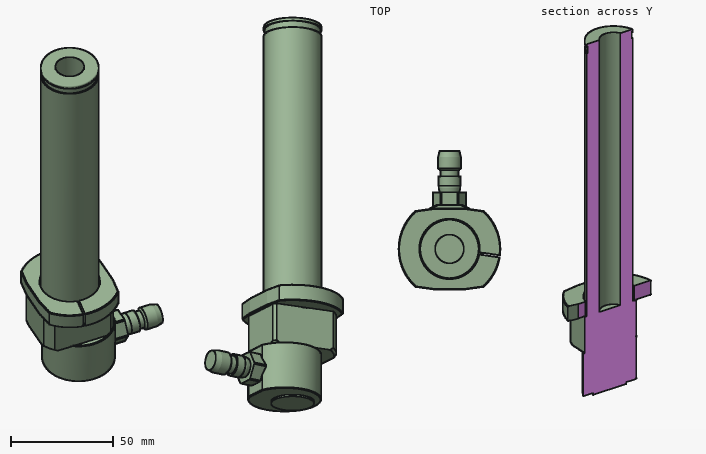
import cadquery as cq
import math

total_height = 195.0
base_bottom = 1.0
base_top = 24.8
block_top = 44.8
clamp_top = 53.0

tube_radius = 14.2
bore_radius = 7.0
groove_radius = 13.6
groove_top = 193.2
groove_bottom = 190.0
tube_fillet = 0.5

base_radius = 18.0
base_center_y = 4.7
base_flat_y = 21.6
edge_chamfer = 0.4
pad_radius = 10.5

block_corner_radius = 21.5
block_front_y = -18.7
block_back_y = 18.5
block_right_x = 15.2
block_chamfer = 1.2
left_wall_front = (-17.5, -12.3)
left_wall_back_x = -12.3

clamp_radius = 25.0
clamp_bore_radius = 14.8
clamp_half_depth = 19.9
clamp_flat_half_width = 7.5
clamp_facet_angle = 8.0
slit_width = 1.0
slit_angle = -8.4

nipple_z = 13.3
hex_across_flats = 14.5
hex_edge_chamfer = 0.49
hex_turn = 30.0
hex_end_y = 27.7
nipple_end_y = 48.0
barb_radius = 5.5
tip_radius = 5.7
barb_end_radius = 4.9
neck_radius = 4.5
neck_start_y = 35.5
neck_end_y = 38.5
neck_taper = 1.0
collar_start_y = 29.8
collar_line_y = 31.0
collar_diameter = 10.7
root_radius = 4.9
tip_length = 3.1


def cylinder(radius, bottom, top, center_y=0.0):
    return cq.Workplane("XY", origin=(0, center_y, bottom)).circle(radius).extrude(top - bottom)


def make_base():
    base = cylinder(base_radius, base_bottom, base_top, base_center_y)
    beyond_flat = cq.Workplane("XY", origin=(0, base_flat_y, 0)).box(
        2 * base_radius, base_radius, 2 * base_top, centered=(True, False, True)
    )
    base = base.cut(beyond_flat).faces("<Z or >Z").chamfer(edge_chamfer)
    return base.union(cylinder(pad_radius, 0, base_bottom))


def make_block():
    wall_slope = (left_wall_back_x - left_wall_front[0]) / (block_back_y - left_wall_front[1])
    left_front_x = left_wall_front[0] + wall_slope * (block_front_y - left_wall_front[1])
    outline = [
        (left_front_x, block_front_y),
        (block_right_x, block_front_y),
        (block_right_x, block_back_y),
        (left_wall_back_x, block_back_y),
    ]
    height = block_top - base_top
    prism = cq.Workplane("XY", origin=(0, 0, base_top)).polyline(outline).close().extrude(height)
    rounded = cylinder(block_corner_radius, base_top, block_top).faces("<Z").chamfer(block_chamfer)
    return prism.intersect(rounded)


def make_tube():
    tube = cylinder(tube_radius, block_top, total_height).faces(">Z").edges().fillet(tube_fillet)
    groove = cylinder(tube_radius, groove_bottom, groove_top).cut(
        cylinder(groove_radius, groove_bottom, groove_top)
    )
    return tube.cut(groove).cut(cylinder(bore_radius, block_top, total_height))


def make_nipple():
    hex_start_y = base_center_y
    hexagon = (
        cq.Workplane("XZ", origin=(0, hex_start_y, nipple_z))
        .transformed(rotate=(0, 0, hex_turn))
        .polygon(6, hex_across_flats, circumscribed=True)
        .extrude(hex_start_y - hex_end_y)
        .edges("|Y")
        .chamfer(hex_edge_chamfer)
    )
    stem = (
        cq.Workplane("XY", origin=(0, 0, nipple_z))
        .moveTo(0, hex_end_y)
        .lineTo(root_radius, hex_end_y)
        .lineTo(collar_diameter / 2, collar_start_y)
        .lineTo(collar_diameter / 2, collar_line_y)
        .lineTo(barb_radius, collar_line_y)
        .lineTo(barb_radius, neck_start_y)
        .lineTo(neck_radius, neck_start_y)
        .lineTo(neck_radius, neck_end_y)
        .lineTo(tip_radius, neck_end_y + neck_taper)
        .lineTo(tip_radius, nipple_end_y - tip_length)
        .lineTo(barb_end_radius, nipple_end_y)
        .lineTo(0, nipple_end_y)
        .close()
        .revolve(360, (0, 0, 0), (0, 1, 0))
    )
    return hexagon.union(stem)


def make_sensor_body():
    return make_base().union(make_block()).union(make_tube()).union(make_nipple())


def make_clamp_ring():
    height = clamp_top - block_top
    facet_drop = (clamp_radius - clamp_flat_half_width) * math.tan(math.radians(clamp_facet_angle))
    facet_end_y = clamp_half_depth - facet_drop
    outline = [
        (-clamp_radius, -facet_end_y),
        (-clamp_flat_half_width, -clamp_half_depth),
        (clamp_flat_half_width, -clamp_half_depth),
        (clamp_radius, -facet_end_y),
        (clamp_radius, facet_end_y),
        (clamp_flat_half_width, clamp_half_depth),
        (-clamp_flat_half_width, clamp_half_depth),
        (-clamp_radius, facet_end_y),
    ]
    ring = cq.Workplane("XY", origin=(0, 0, block_top)).polyline(outline).close().extrude(height)
    ring = ring.intersect(cylinder(clamp_radius, block_top, clamp_top))
    ring = ring.faces("<Z or >Z").chamfer(edge_chamfer)
    ring = ring.cut(cylinder(clamp_bore_radius, block_top, clamp_top))
    slit = (
        cq.Workplane("XY", origin=(0, 0, block_top))
        .box(2 * clamp_radius, slit_width, height, centered=(False, True, False))
        .rotate((0, 0, 0), (0, 0, 1), slit_angle)
    )
    return ring.cut(slit)


sensor_body = make_sensor_body()
clamp_ring = make_clamp_ring()

result = cq.Compound.makeCompound([sensor_body.val(), clamp_ring.val()])